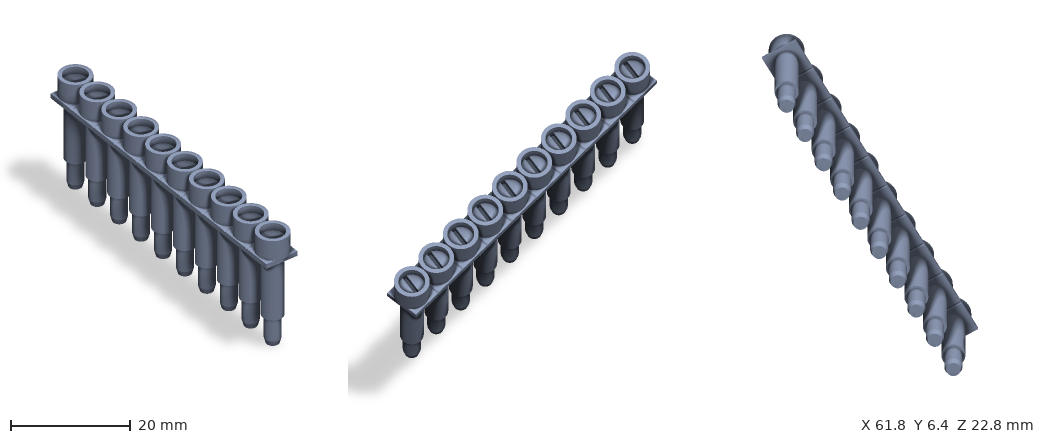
import cadquery as cq

screw_count = 10
row_length = 61.8
head_diameter = 6.0
pitch = (row_length - head_diameter) / (screw_count - 1)

bar_length = 61.0
bar_width = 6.4
bar_thickness = 1.0

groove_width = 0.45
groove_depth = 0.2

head_height = 4.0
recess_diameter = 4.5
recess_depth = 1.5
slot_width = 0.85
slot_depth = 1.0
slot_tilt = 15.0

sleeve_diameter = 4.0
sleeve_length = 12.05
pin_diameter = 3.0
pin_length = 4.65
tip_diameter = 2.4
tip_length = 1.1

head_top = bar_thickness + head_height
recess_floor = head_top - recess_depth
pin_top = -sleeve_length
tip_top = pin_top - pin_length
tip_bottom = tip_top - tip_length


def make_groove_cutter(x, face_z, inward):
    """V-shaped cutter along Y; inward is the Z direction (+1 or -1) into the bar."""
    return (
        cq.Workplane("XZ", origin=(x, 0, face_z))
        .moveTo(-groove_width / 2, 0)
        .lineTo(groove_width / 2, 0)
        .lineTo(0, inward * groove_depth)
        .close()
        .extrude(bar_width / 2, both=True)
    )


def make_bar():
    """Flat bar, notched on both faces midway between the screws."""
    bar = cq.Workplane("XY").box(bar_length, bar_width, bar_thickness, centered=(True, True, False))
    for i in range(screw_count - 1):
        x = (i - (screw_count - 2) / 2) * pitch
        bar = bar.cut(make_groove_cutter(x, bar_thickness, -1))
        bar = bar.cut(make_groove_cutter(x, 0, 1))
    return bar


def make_screw_body():
    """Stepped round body: head, sleeve, pin and tapered tip."""
    return (
        cq.Workplane("XZ")
        .moveTo(0, tip_bottom)
        .lineTo(tip_diameter / 2, tip_bottom)
        .lineTo(pin_diameter / 2, tip_top)
        .lineTo(pin_diameter / 2, pin_top)
        .lineTo(sleeve_diameter / 2, pin_top)
        .lineTo(sleeve_diameter / 2, bar_thickness)
        .lineTo(head_diameter / 2, bar_thickness)
        .lineTo(head_diameter / 2, head_top)
        .lineTo(0, head_top)
        .close()
        .revolve(360, (0, 0, 0), (0, 1, 0))
    )


def make_screw():
    """Screw with a round recess in its head and a driver slot across the recess floor."""
    recess = cq.Workplane("XY", origin=(0, 0, recess_floor)).circle(recess_diameter / 2).extrude(recess_depth)
    slot_outline = (
        cq.Workplane("XY", origin=(0, 0, recess_floor - slot_depth))
        .rect(slot_width, recess_diameter)
        .extrude(slot_depth)
        .rotate((0, 0, 0), (0, 0, 1), -slot_tilt)
    )
    slot_bounds = (
        cq.Workplane("XY", origin=(0, 0, recess_floor - slot_depth))
        .circle(recess_diameter / 2)
        .extrude(slot_depth)
    )
    slot = slot_outline.intersect(slot_bounds)
    return make_screw_body().cut(recess).cut(slot)


screw = make_screw()
result = make_bar()
for i in range(screw_count):
    x = (i - (screw_count - 1) / 2) * pitch
    result = result.union(screw.translate((x, 0, 0)))